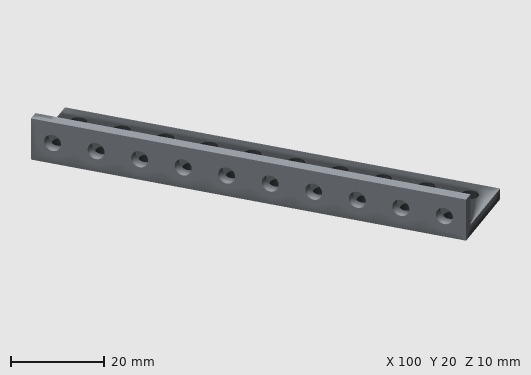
import cadquery as cq

pitch = 10.0
hole_count = 10
base_rows = 2
thickness = 2.6
hole_diameter = 3.9

length = hole_count * pitch
width = base_rows * pitch
height = pitch


def hole_position(index):
    """Distance of a grid hole from the outer edge of the bar."""
    return (index + 0.5) * pitch


base = cq.Workplane("XY").box(length, width, thickness, centered=False)
flange = cq.Workplane("XY").box(length, thickness, height, centered=False)
angle = base.union(flange)

base_points = [
    (hole_position(column), hole_position(row))
    for column in range(hole_count)
    for row in range(base_rows)
]
base_holes = (
    cq.Workplane("XY")
    .pushPoints(base_points)
    .circle(hole_diameter / 2)
    .extrude(thickness)
)

flange_points = [(hole_position(column), height / 2) for column in range(hole_count)]
flange_holes = (
    cq.Workplane("XZ")
    .pushPoints(flange_points)
    .circle(hole_diameter / 2)
    .extrude(-thickness)
)

result = angle.cut(base_holes).cut(flange_holes)